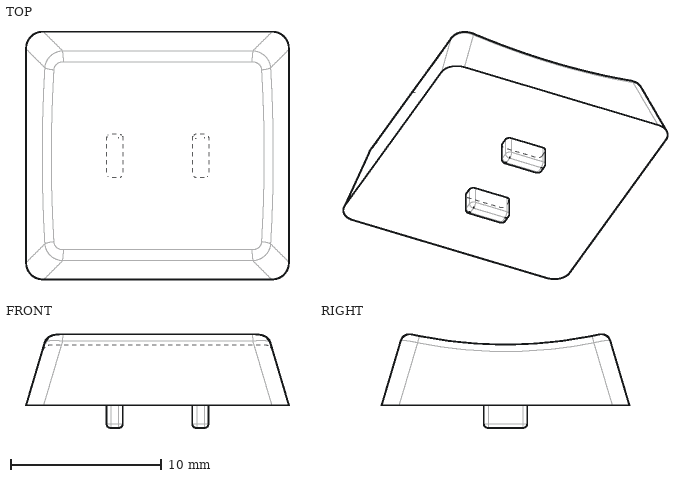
import cadquery as cq
import math

BASE_X = 17.5
BASE_Y = 16.5
WALL_DRAFT = 16.5
BLANK_HEIGHT = 6.0
CORNER_RADIUS = 1.2

DISH_RADIUS = 28.8
DISH_FLOOR_Z = 4.05
RIM_RADIUS = 0.63

PRONG_SPACING = 5.7
PRONG_X = 1.1
PRONG_Y = 2.9
PRONG_LENGTH = 1.5
PRONG_SIDE_ROUND = 0.3
PRONG_TIP_ROUND = 0.29


def tapered_block():
    top_inset = BLANK_HEIGHT * math.tan(math.radians(WALL_DRAFT))
    block = (
        cq.Workplane("XY")
        .rect(BASE_X, BASE_Y)
        .workplane(offset=BLANK_HEIGHT)
        .rect(BASE_X - 2 * top_inset, BASE_Y - 2 * top_inset)
        .loft(ruled=True)
    )
    sloping_edges = block.edges("not #Z")
    return sloping_edges.fillet(CORNER_RADIUS)


def dish_cutter():
    return (
        cq.Workplane("YZ")
        .center(0, DISH_FLOOR_Z + DISH_RADIUS)
        .circle(DISH_RADIUS)
        .extrude(BASE_X / 2, both=True)
    )


def keycap_body():
    dished = tapered_block().cut(dish_cutter())
    dish_center = (0, 0, DISH_FLOOR_Z)
    dish_face = dished.faces(cq.selectors.NearestToPointSelector(dish_center))
    return dish_face.edges().fillet(RIM_RADIUS)


def prong(center_x):
    blank = cq.Workplane("XY").center(center_x, 0).rect(PRONG_X, PRONG_Y).extrude(-PRONG_LENGTH)
    rounded_sides = blank.edges("|Z").fillet(PRONG_SIDE_ROUND)
    return rounded_sides.faces("<Z").edges().fillet(PRONG_TIP_ROUND)


result = keycap_body()
for side in (-1, 1):
    result = result.union(prong(side * PRONG_SPACING / 2))